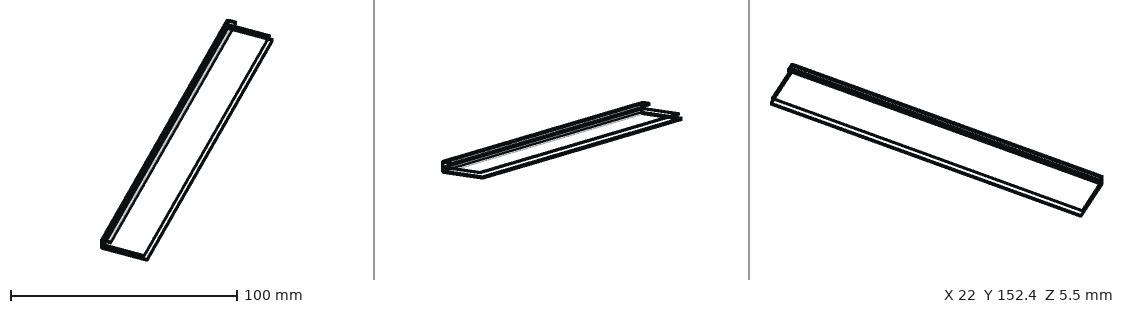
import cadquery as cq

length = 152.4
width = 22.0
height = 5.5

wall = 0.9
bend_radius = 1.2
lip_width = 4.5
lip_edge_radius = 0.5
leaf_thickness = 0.5
leaf_bottom = 2.3
leaf_setback = 1.4


def bar(x_start, x_end, z_start, z_end):
    """Full-length rectangular strip between the given X and Z limits, centred on Y."""
    return (
        cq.Workplane("XY")
        .box(x_end - x_start, length, z_end - z_start, centered=(False, True, False))
        .translate((x_start, 0, z_start))
    )


left = -width / 2
right = width / 2
base = bar(left, right, 0, wall)
spine = bar(left, left + wall, 0, height)
lip = bar(left, left + lip_width, height - wall, height)
channel = base.union(spine).union(lip)

channel = channel.edges("|Y and <X").fillet(bend_radius)

lip_edge = cq.selectors.NearestToPointSelector((left + lip_width, 0, height))
channel = channel.edges(lip_edge).fillet(lip_edge_radius)

leaf = bar(left + wall / 2, right - leaf_setback, leaf_bottom, leaf_bottom + leaf_thickness)

result = channel.union(leaf)